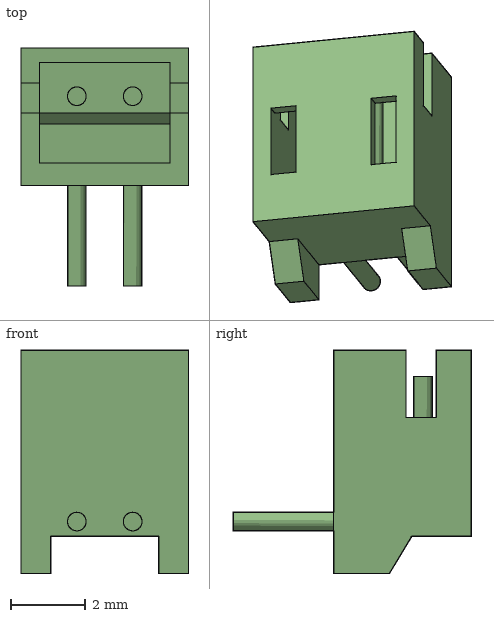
import cadquery as cq


width = 4.5
depth = 3.7
height = 6.0

foot_height = 1.0
foot_gap = 2.9
foot_tip_depth = 1.5
foot_root_depth = 2.1

side_wall = 0.5
front_wall = 0.6
back_wall = 0.4
front_floor_z = 2.0
step_front_y = 1.65
step_back_y = 1.95
step_rise = step_back_y - step_front_y

slot_width = 0.8
slot_depth = 1.8
slot_from_back = 0.95

window_inner_x = 1.05

pin_diameter = 0.5
pin_pitch = 1.5
tail_length = 2.7
tail_z = 1.4
contact_from_back = 1.3
contact_recess = 0.7

cavity_half_width = width / 2 - side_wall
cavity_back_y = depth - back_wall
back_floor_z = front_floor_z + step_rise
slot_floor_z = height - slot_depth
contact_y = depth - contact_from_back


def box_between(low, high):
    """Axis-aligned box given by two opposite corners."""
    size = [b - a for a, b in zip(low, high)]
    return cq.Workplane("XY").box(*size, centered=False).translate(low)


def extrude_side_profile(points, full_width):
    """Y-Z outline extruded symmetrically about X = 0."""
    return cq.Workplane("YZ").polyline(points).close().extrude(full_width / 2, both=True)


def make_housing():
    """Outer block with two tapered feet at its front."""
    outline = [
        (0, 0),
        (foot_tip_depth, 0),
        (foot_root_depth, foot_height),
        (depth, foot_height),
        (depth, height),
        (0, height),
    ]
    gap = box_between((-foot_gap / 2, 0, 0), (foot_gap / 2, foot_root_depth, foot_height))
    return extrude_side_profile(outline, width).cut(gap)


def make_cavity():
    """Cavity volume with a sloped step in its floor."""
    outline = [
        (front_wall, front_floor_z),
        (step_front_y, front_floor_z),
        (step_back_y, back_floor_z),
        (cavity_back_y, back_floor_z),
        (cavity_back_y, height),
        (front_wall, height),
    ]
    return extrude_side_profile(outline, 2 * cavity_half_width)


def make_side_slots():
    """One cutter that opens both side walls."""
    slot_back_y = depth - slot_from_back
    return box_between(
        (-width / 2, slot_back_y - slot_width, slot_floor_z),
        (width / 2, slot_back_y, height),
    )


def make_back_window():
    """Window on the +X side, from the cavity floor up to the slot floor level."""
    return box_between(
        (window_inner_x, cavity_back_y, back_floor_z),
        (cavity_half_width, depth, slot_floor_z),
    )


def make_pin(x):
    """L-shaped pin: a tail along -Y and a contact rising into the cavity."""
    radius = pin_diameter / 2
    tail = (
        cq.Workplane("XZ", origin=(x, contact_y, tail_z))
        .circle(radius)
        .extrude(contact_y + tail_length)
    )
    contact = (
        cq.Workplane("XY", origin=(x, contact_y, tail_z))
        .circle(radius)
        .extrude(height - contact_recess - tail_z)
    )
    return tail.union(contact)


window = make_back_window()
result = make_housing().cut(make_cavity()).cut(make_side_slots())
result = result.cut(window).cut(window.mirror("YZ"))
for pin_x in (-pin_pitch / 2, pin_pitch / 2):
    result = result.union(make_pin(pin_x))